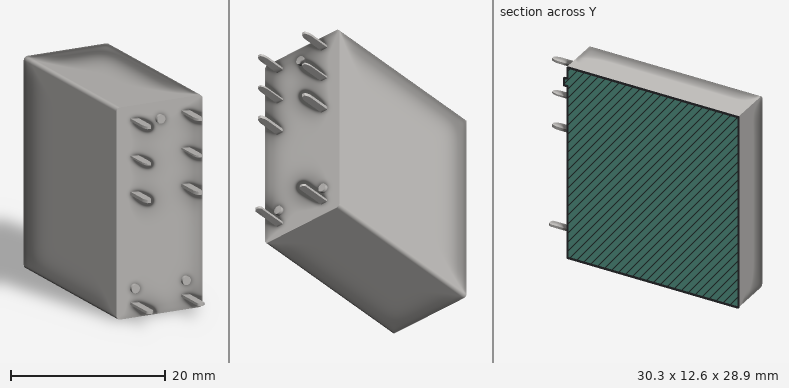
import cadquery as cq
import math

total_length = 30.26
body_length = 25.6
body_width = 12.64
body_height = 28.85
base_thickness = 0.35
corner_radius = 0.5

boss_diameter = 1.2
boss_height = 0.5
upper_boss_z = 12.1
lower_boss_z = -10.4

row_offset = 3.75
terminal_pitch = 5.0
top_terminal_z = 12.5
coil_distance = 25.0

contact_width = 1.05
contact_length = 4.2
contact_tip_length = 1.05
contact_tip_radius = 2.0
contact_thicknesses = (0.35, 0.25, 0.45)

coil_width = 1.0
coil_thickness = 0.35
coil_tip_radius = 0.4
coil_length = total_length - body_length


def make_block(start_x, length):
    """Housing section of the given length, with its edges along X rounded."""
    block = cq.Workplane("XY").box(length, body_width, body_height, centered=(False, True, True))
    return block.edges("|X").fillet(corner_radius).translate((start_x, 0, 0))


def make_boss(y, z):
    """Round stand-off on the base face."""
    boss = cq.Workplane("YZ").circle(boss_diameter / 2).extrude(boss_height)
    return boss.translate((body_length, y, z))


def make_contact_terminal(thickness):
    """Flat blade starting at X = 0, its sides curving in tangentially toward the tip."""
    half_width = contact_width / 2
    tip_start = contact_length - contact_tip_length

    def narrowing(distance):
        return contact_tip_radius - math.sqrt(contact_tip_radius**2 - distance**2)

    middle_x = tip_start + contact_tip_length / 2
    middle_y = half_width - narrowing(contact_tip_length / 2)
    tip_y = half_width - narrowing(contact_tip_length)
    return (
        cq.Workplane("XY")
        .moveTo(0, -half_width)
        .lineTo(tip_start, -half_width)
        .threePointArc((middle_x, -middle_y), (contact_length, -tip_y))
        .lineTo(contact_length, tip_y)
        .threePointArc((middle_x, middle_y), (tip_start, half_width))
        .lineTo(0, half_width)
        .close()
        .extrude(thickness / 2, both=True)
    )


def make_coil_terminal():
    """Flat blade starting at X = 0 with its tip corners rounded."""
    return (
        cq.Workplane("XY")
        .box(coil_length, coil_width, coil_thickness, centered=(False, True, True))
        .edges("|Z and >X")
        .fillet(coil_tip_radius)
    )


cover_length = body_length - base_thickness
cover = make_block(0, cover_length)
base = make_block(cover_length, base_thickness)
result = cover.union(base, clean=False)

for boss_y, boss_z in ((0, upper_boss_z), (-row_offset, lower_boss_z), (row_offset, lower_boss_z)):
    result = result.union(make_boss(boss_y, boss_z), clean=False)

for row_y in (-row_offset, row_offset):
    for index, thickness in enumerate(contact_thicknesses):
        contact_z = top_terminal_z - index * terminal_pitch
        contact = make_contact_terminal(thickness).translate((body_length, row_y, contact_z))
        result = result.union(contact, clean=False)
    coil = make_coil_terminal().translate((body_length, row_y, top_terminal_z - coil_distance))
    result = result.union(coil, clean=False)